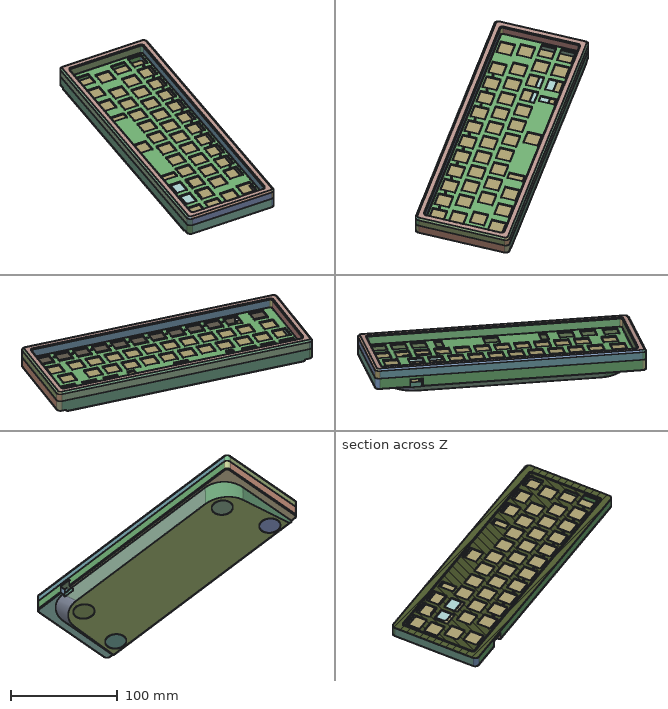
import cadquery as cq
import math

KEY_UNIT = 19.05
ROW_COUNT = 4
ROW_UNITS = 12.75
KEY_AREA_LENGTH = ROW_UNITS * KEY_UNIT
KEY_AREA_WIDTH = ROW_COUNT * KEY_UNIT
SWITCH_CUTOUT = 14.0
SPACEBAR_UNITS = 6.25
KEY_ROWS = [
    [1] * 11 + [1.75],
    [1.25] + [1] * 10 + [1.5],
    [1.75] + [1] * 11,
    [1.25, 1, 1.25, SPACEBAR_UNITS, 1, 1, 1],
]

WALL = 8.0
CASE_LENGTH = KEY_AREA_LENGTH + 2 * WALL
CASE_WIDTH = KEY_AREA_WIDTH + 2 * WALL
CASE_CORNER_RADIUS = 4.0
OPENING_CORNER_RADIUS = 2.0
FRAME_HEIGHT = 9.4
BASE_HEIGHT = 11.0
TOTAL_HEIGHT = 29.36
RIM_CHAMFER = 1.8
OPENING_CLEARANCE = 0.5
OPENING_CHAMFER = 1.0
BASE_EDGE_CHAMFER = 0.8
OPENING_LENGTH = KEY_AREA_LENGTH + 2 * OPENING_CLEARANCE
OPENING_WIDTH = KEY_AREA_WIDTH + 2 * OPENING_CLEARANCE

CASE_TOP = FRAME_HEIGHT
BASE_UNDERSIDE = -BASE_HEIGHT
LOWEST_POINT = FRAME_HEIGHT - TOTAL_HEIGHT
FRONT_Y = -CASE_WIDTH / 2
BACK_Y = CASE_WIDTH / 2

PLATE_THICKNESS = 1.5
PLATE_TOP = 0.8
PLATE_BOTTOM = PLATE_TOP - PLATE_THICKNESS
STABILIZER_SPREAD = 100.0
STABILIZER_LENGTH = 7.0
STABILIZER_WIDTH = 15.0
STABILIZER_SHIFT = 1.0
PLATE_HOLE_DIAMETER = 1.5
PLATE_HOLE_COUNT = 10
PLATE_HOLE_SHIFT = 1.4

PLATE_LEDGE = 0.5
CAVITY_LENGTH = KEY_AREA_LENGTH - 2 * PLATE_LEDGE
CAVITY_WIDTH = KEY_AREA_WIDTH - 2 * PLATE_LEDGE
FLOOR_Z = -8.2
FLOOR_POCKET_CENTER = (72.4, -18.5)
FLOOR_POCKET_LENGTH = 35.3
FLOOR_POCKET_WIDTH = 17.4
FLOOR_POCKET_RADIUS = 3.0
FLOOR_POCKET_DEPTH = 1.5
PORT_X = 90.2
PORT_WIDTH = 12.0
PORT_HEIGHT = 5.2
PORT_SILL = 3.2

TYPING_ANGLE = 5.0
FOOT_SIDE_INSET = 8.2
FOOT_BACK_INSET = 3.2
FOOT_CORNER_RADIUS = 25.0
FOOT_FRONT_CHAMFER = 1.4
PAD_DIAMETER = 20.0
PAD_DEPTH = 0.5
PAD_CENTERS = [(104.5, -33.5), (93.8, 18.0)]


def rounded_block(length, width, radius, z_bottom, z_top):
    block = cq.Workplane("XY").workplane(offset=z_bottom).rect(length, width).extrude(z_top - z_bottom)
    return block.edges("|Z").fillet(radius)


def row_y(row):
    return KEY_AREA_WIDTH / 2 - (row + 0.5) * KEY_UNIT


def key_centers():
    centers = []
    for row, widths in enumerate(KEY_ROWS):
        left = -KEY_AREA_LENGTH / 2
        for width in widths:
            centers.append((left + width * KEY_UNIT / 2, row_y(row)))
            left += width * KEY_UNIT
    return centers


def spacebar_center():
    widths = KEY_ROWS[-1]
    units = sum(widths[: widths.index(SPACEBAR_UNITS)]) + SPACEBAR_UNITS / 2
    return units * KEY_UNIT - KEY_AREA_LENGTH / 2, row_y(ROW_COUNT - 1)


def make_frame():
    frame = rounded_block(CASE_LENGTH, CASE_WIDTH, CASE_CORNER_RADIUS, 0, CASE_TOP)
    frame = frame.faces(">Z").edges().chamfer(RIM_CHAMFER)
    opening = rounded_block(OPENING_LENGTH, OPENING_WIDTH, OPENING_CORNER_RADIUS, 0, CASE_TOP)
    frame = frame.cut(opening)
    opening_rim = frame.faces(">Z").vals()[0].innerWires()[0].Edges()
    return frame.newObject(opening_rim).chamfer(OPENING_CHAMFER)


def make_plate():
    plate = rounded_block(KEY_AREA_LENGTH, KEY_AREA_WIDTH, OPENING_CORNER_RADIUS, PLATE_BOTTOM, PLATE_TOP)
    top = cq.Workplane("XY").workplane(offset=PLATE_TOP)
    switches = top.pushPoints(key_centers()).rect(SWITCH_CUTOUT, SWITCH_CUTOUT).extrude(-PLATE_THICKNESS)

    bar_x, bar_y = spacebar_center()
    stabilizer_points = [
        (bar_x + side * STABILIZER_SPREAD / 2, bar_y + STABILIZER_SHIFT) for side in (-1, 1)
    ]
    stabilizers = (
        top.pushPoints(stabilizer_points)
        .rect(STABILIZER_LENGTH, STABILIZER_WIDTH)
        .extrude(-PLATE_THICKNESS)
    )

    hole_points = [
        (count * KEY_UNIT - KEY_AREA_LENGTH / 2, row_y(0) + PLATE_HOLE_SHIFT)
        for count in range(1, PLATE_HOLE_COUNT + 1)
    ]
    holes = top.pushPoints(hole_points).circle(PLATE_HOLE_DIAMETER / 2).extrude(-PLATE_THICKNESS)
    return plate.cut(switches).cut(stabilizers).cut(holes)


def foot_outline(z, inset):
    half = CASE_LENGTH / 2 - FOOT_SIDE_INSET - inset
    back = BACK_Y - FOOT_BACK_INSET - inset
    r = FOOT_CORNER_RADIUS
    diagonal = r * (1 - math.sqrt(0.5))
    return (
        cq.Workplane("XY")
        .workplane(offset=z)
        .moveTo(-half, FRONT_Y)
        .lineTo(half, FRONT_Y)
        .lineTo(half, back - r)
        .threePointArc((half - diagonal, back - diagonal), (half - r, back))
        .lineTo(r - half, back)
        .threePointArc((diagonal - half, back - diagonal), (-half, back - r))
        .close()
    )


def make_foot():
    drop = BASE_UNDERSIDE - LOWEST_POINT
    upper = foot_outline(BASE_UNDERSIDE, 0).val()
    lower = foot_outline(LOWEST_POINT, drop).val()
    flared = cq.Workplane(cq.Solid.makeLoft([upper, lower], True))
    neck = foot_outline(BASE_UNDERSIDE, 0).extrude(BASE_EDGE_CHAMFER)

    back = BACK_Y - FOOT_BACK_INSET - drop
    slope = math.tan(math.radians(TYPING_ANGLE))
    chamfer_y = FRONT_Y + FOOT_FRONT_CHAMFER
    chamfer_z = LOWEST_POINT + (back - chamfer_y) * slope
    side_profile = (
        cq.Workplane("YZ")
        .moveTo(FRONT_Y, 0)
        .lineTo(FRONT_Y, chamfer_z + FOOT_FRONT_CHAMFER)
        .lineTo(chamfer_y, chamfer_z)
        .lineTo(back, LOWEST_POINT)
        .lineTo(BACK_Y, LOWEST_POINT)
        .lineTo(BACK_Y, 0)
        .close()
        .extrude(CASE_LENGTH / 2, both=True)
    )
    foot = flared.union(neck).intersect(side_profile)

    for x, y in PAD_CENTERS:
        for side in (-1, 1):
            underside = cq.Plane(
                origin=(side * x, y, LOWEST_POINT + (back - y) * slope),
                xDir=(1, 0, 0),
                normal=(0, slope, 1),
            )
            foot = foot.cut(cq.Workplane(underside).circle(PAD_DIAMETER / 2).extrude(PAD_DEPTH))
    return foot


def make_port_opening():
    inner_y = CAVITY_WIDTH / 2
    center_z = FLOOR_Z + PORT_HEIGHT / 2
    slot = (
        cq.Workplane("XZ", origin=(PORT_X, BACK_Y, center_z))
        .slot2D(PORT_WIDTH, PORT_HEIGHT)
        .extrude(BACK_Y - inner_y)
    )
    relief = (
        cq.Workplane("XY", origin=(PORT_X, inner_y + PORT_SILL, LOWEST_POINT))
        .rect(PORT_WIDTH, BACK_Y - inner_y - PORT_SILL)
        .extrude(FLOOR_Z + PORT_HEIGHT - LOWEST_POINT)
        .translate((0, (BACK_Y - inner_y - PORT_SILL) / 2, 0))
    )
    return slot.union(relief)


def make_base():
    base = rounded_block(CASE_LENGTH, CASE_WIDTH, CASE_CORNER_RADIUS, BASE_UNDERSIDE, 0)
    base = base.faces("<Z").edges().chamfer(BASE_EDGE_CHAMFER)
    base = base.union(make_foot())
    cavity = rounded_block(CAVITY_LENGTH, CAVITY_WIDTH, OPENING_CORNER_RADIUS, FLOOR_Z, 0)
    pocket = rounded_block(
        FLOOR_POCKET_LENGTH,
        FLOOR_POCKET_WIDTH,
        FLOOR_POCKET_RADIUS,
        FLOOR_Z - FLOOR_POCKET_DEPTH,
        FLOOR_Z,
    ).translate((*FLOOR_POCKET_CENTER, 0))
    plate_recess = rounded_block(OPENING_LENGTH, OPENING_WIDTH, OPENING_CORNER_RADIUS, PLATE_BOTTOM, 0)
    return base.cut(cavity).cut(pocket).cut(make_port_opening()).cut(plate_recess)


frame = make_frame()
plate = make_plate()
base = make_base()

result = cq.Compound.makeCompound([frame.val(), plate.val(), base.val()])